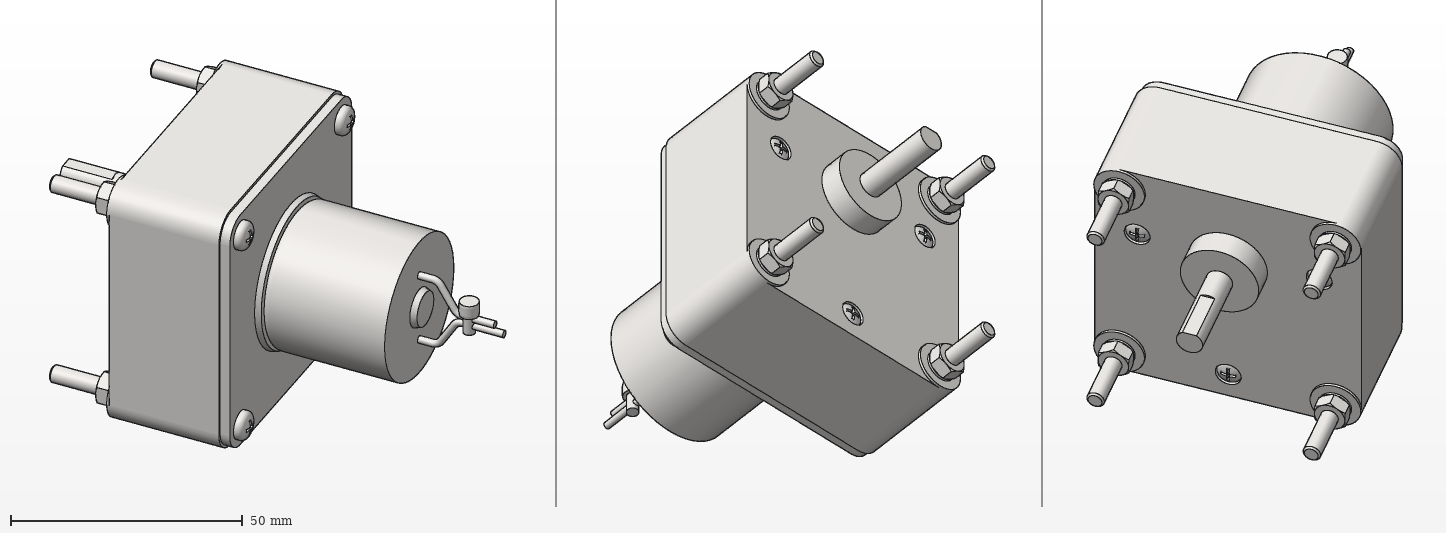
import cadquery as cq
import math


OVERALL_LENGTH = 105.4

BOX_SIDE = 61.0
CORNER_RADIUS = 5.8
CASE_LENGTH = 26.4
COVER_THICKNESS = 2.3
COVER_INSET = 0.6
BOX_LENGTH = CASE_LENGTH + COVER_THICKNESS
CORNER_CENTRE = BOX_SIDE / 2 - CORNER_RADIUS
CORNERS = [(y, z) for y in (-CORNER_CENTRE, CORNER_CENTRE) for z in (-CORNER_CENTRE, CORNER_CENTRE)]
PAD_HEIGHT = 0.6

SHAFT_Z = 10.0
SHAFT_DIAMETER = 6.0
SHAFT_RADIUS = SHAFT_DIAMETER / 2
SHAFT_TIP_X = -25.4
FLAT_LENGTH = 11.9
FLAT_HEIGHT = 2.5
BOSS_RADIUS = 9.0
BOSS_LENGTH = 5.7

STUD_RADIUS = 2.0
STUD_TIP_X = -16.4
STUD_CHAMFER = 0.4
NUT_FLATS = 7.0
NUT_CORNER_RADIUS = NUT_FLATS / math.sqrt(3)
NUT_FRONT_X = -4.4
NUT_BACK_X = -1.2
NUT_FRONT_BEVEL = 0.3
NUT_BACK_BEVEL = 0.3
NUT_FACE_RADIUS = NUT_FLATS / 2
COLLAR_RADIUS = 3.7

STUD_HEAD_RADIUS = 3.4
STUD_HEAD_HEIGHT = 2.6
STUD_HEAD_ROUNDING = 1.3
CROWN_RADIUS = 5.5
FACE_SCREW_CIRCLE = 24.0
FACE_SCREW_ANGLES = (30, 150, 270)
FACE_SCREW_RADIUS = 3.0
FACE_SCREW_RISE = 0.3
FACE_SCREW_ROUNDING = 1.1
FACE_SCREW_FLOOR = 1.9
SLOT_LENGTH = 3.4
SLOT_WIDTH = 0.6
SLOT_DEPTH = 1.1

FLANGE_BASE_RADIUS = 17.7
FLANGE_TIP_RADIUS = 17.3
FLANGE_THICKNESS = 1.4
MOTOR_RADIUS = 17.0
MOTOR_END_X = 59.6
MOTOR_FILLET = 1.5
BEARING_BASE_RADIUS = 4.6
BEARING_TIP_RADIUS = 4.1
BEARING_LENGTH = 1.5

WIRE_RADIUS = 0.8
WIRE_START_Z = 8.3
WIRE_END_Z = 0.9
WIRE_STRAIGHT = 3.2
WIRE_BEND_RADIUS = 2.4
WIRE_SLOPE = math.radians(58)
WIRE_ROOT = 0.5
UPPER_WIRE_END_X = 77.8
LOWER_WIRE_END_X = SHAFT_TIP_X + OVERALL_LENGTH
TIE_X = 71.6
TIE_RADIUS = 1.4
TIE_BOTTOM_Z = -2.8
TIE_HEAD_DIAMETER = 4.5
TIE_HEAD_BOTTOM_Z = 1.8
TIE_HEAD_TOP_Z = 5.2
TIE_BEVEL_WIDTH = 0.1
TIE_BEVEL_LENGTH = 0.6


def rod(start_x, end_x, radius, y=0, z=0):
    """Cylinder along X between two X positions."""
    return cq.Workplane("YZ", origin=(start_x, y, z)).circle(radius).extrude(end_x - start_x)


def cone(start_x, length, base_radius, tip_radius):
    """Truncated cone on the motor axis."""
    return (
        cq.Workplane("YZ", origin=(start_x, 0, 0))
        .circle(base_radius)
        .workplane(offset=length)
        .circle(tip_radius)
        .loft()
    )


def domed_head(radius, height, rounding):
    """Screw head rising along +X from the origin: cylinder, rounded rim, crown and cross slot."""
    rim_angle = math.asin(radius / CROWN_RADIUS)
    crown_middle = (
        height - CROWN_RADIUS * (1 - math.cos(rim_angle / 2)),
        CROWN_RADIUS * math.sin(rim_angle / 2),
    )
    rim_x = height - CROWN_RADIUS * (1 - math.cos(rim_angle))
    head = (
        cq.Workplane("XY")
        .lineTo(0, radius)
        .lineTo(rim_x, radius)
        .threePointArc(crown_middle, (height, 0))
        .close()
        .revolve(360, (0, 0, 0), (1, 0, 0))
        .faces("%CYLINDER")
        .edges(">X")
        .fillet(rounding)
    )
    slots = cq.Workplane("YZ", origin=(height - SLOT_DEPTH, 0, 0))
    for length_y, length_z in ((SLOT_LENGTH, SLOT_WIDTH), (SLOT_WIDTH, SLOT_LENGTH)):
        head = head.cut(slots.rect(length_y, length_z).extrude(SLOT_DEPTH))
    return head


def gearbox():
    """Case whose round corner columns end in low pads, a slightly smaller cover and the output boss."""
    inner_side = 2 * CORNER_CENTRE
    section = cq.Workplane("YZ")
    case = section.rect(BOX_SIDE, inner_side).extrude(CASE_LENGTH)
    case = case.union(section.rect(inner_side, BOX_SIDE).extrude(CASE_LENGTH))
    for y, z in CORNERS:
        case = case.union(rod(-PAD_HEIGHT, CASE_LENGTH, CORNER_RADIUS, y, z))
    cover_side = BOX_SIDE - 2 * COVER_INSET
    cover = (
        cq.Workplane("YZ", origin=(CASE_LENGTH, 0, 0))
        .rect(cover_side, cover_side)
        .extrude(COVER_THICKNESS)
        .edges("|X")
        .fillet(CORNER_RADIUS - COVER_INSET)
    )
    boss = rod(-BOSS_LENGTH, 0, BOSS_RADIUS, z=SHAFT_Z)
    return case.union(cover).union(boss)


def output_shaft():
    """Shaft with a flat on top at its free end."""
    shaft = rod(SHAFT_TIP_X, 0, SHAFT_RADIUS, z=SHAFT_Z)
    above_flat = cq.Workplane("XY").box(
        FLAT_LENGTH, 2 * SHAFT_RADIUS, SHAFT_RADIUS, centered=(False, True, False)
    )
    return shaft.cut(above_flat.translate((SHAFT_TIP_X, 0, SHAFT_Z + FLAT_HEIGHT)))


def nut():
    """Hexagon nut on the X axis, bevelled at both ends, with a round collar behind."""
    length = NUT_BACK_X - NUT_FRONT_X
    hexagon = (
        cq.Workplane("YZ", origin=(NUT_FRONT_X, 0, 0))
        .polygon(6, 2 * NUT_CORNER_RADIUS)
        .extrude(length)
        .rotate((0, 0, 0), (1, 0, 0), 90)
    )
    envelope = (
        cq.Workplane("XY")
        .moveTo(NUT_FRONT_X, 0)
        .lineTo(NUT_FRONT_X, NUT_FACE_RADIUS)
        .lineTo(NUT_FRONT_X + NUT_FRONT_BEVEL, NUT_CORNER_RADIUS)
        .lineTo(NUT_BACK_X - NUT_BACK_BEVEL, NUT_CORNER_RADIUS)
        .lineTo(NUT_BACK_X, COLLAR_RADIUS)
        .lineTo(NUT_BACK_X, 0)
        .close()
        .revolve(360, (0, 0, 0), (1, 0, 0))
    )
    return hexagon.intersect(envelope).union(rod(NUT_BACK_X, 0, COLLAR_RADIUS))


def corner_fastener():
    """Stud, nut and rear screw head of one gearbox corner, on the X axis."""
    stud = rod(STUD_TIP_X, 0, STUD_RADIUS).faces("<X").chamfer(STUD_CHAMFER)
    head = domed_head(STUD_HEAD_RADIUS, STUD_HEAD_HEIGHT, STUD_HEAD_ROUNDING)
    return stud.union(nut()).union(head.translate((BOX_LENGTH, 0, 0)))


def add_face_screws(body):
    """Sink three domed screws into the front face, evenly spaced about the motor axis."""
    depth = FACE_SCREW_FLOOR
    head = domed_head(FACE_SCREW_RADIUS, depth + FACE_SCREW_RISE, FACE_SCREW_ROUNDING)
    head = head.rotate((0, 0, 0), (0, 0, 1), 180)
    for angle in FACE_SCREW_ANGLES:
        y = FACE_SCREW_CIRCLE * math.cos(math.radians(angle))
        z = FACE_SCREW_CIRCLE * math.sin(math.radians(angle))
        body = body.cut(rod(0, depth, FACE_SCREW_RADIUS, y, z))
        body = body.union(head.translate((depth, y, z)))
    return body


def motor():
    """Mounting flange, motor can and rear bearing."""
    can_x = BOX_LENGTH + FLANGE_THICKNESS
    flange = cone(BOX_LENGTH, FLANGE_THICKNESS, FLANGE_BASE_RADIUS, FLANGE_TIP_RADIUS)
    can = rod(can_x, MOTOR_END_X, MOTOR_RADIUS).faces("<X").edges().fillet(MOTOR_FILLET)
    bearing = cone(MOTOR_END_X, BEARING_LENGTH, BEARING_BASE_RADIUS, BEARING_TIP_RADIUS)
    return flange.union(can).union(bearing)


def wire(side, end_x):
    """Wire leaving the motor above (side = 1) or below (side = -1) the axis."""
    bend = WIRE_BEND_RADIUS
    bend_x = bend * math.sin(WIRE_SLOPE)
    bend_z = bend * (1 - math.cos(WIRE_SLOPE))
    half_x = bend * math.sin(WIRE_SLOPE / 2)
    half_z = bend * (1 - math.cos(WIRE_SLOPE / 2))
    x1 = MOTOR_END_X + WIRE_STRAIGHT
    x2 = x1 + bend_x
    z2 = WIRE_START_Z - bend_z
    z3 = WIRE_END_Z + bend_z
    x3 = x2 + (z2 - z3) / math.tan(WIRE_SLOPE)
    x4 = x3 + bend_x
    root_x = MOTOR_END_X - WIRE_ROOT
    path = (
        cq.Workplane("XZ")
        .moveTo(root_x, side * WIRE_START_Z)
        .lineTo(x1, side * WIRE_START_Z)
        .threePointArc((x1 + half_x, side * (WIRE_START_Z - half_z)), (x2, side * z2))
        .lineTo(x3, side * z3)
        .threePointArc((x4 - half_x, side * (WIRE_END_Z + half_z)), (x4, side * WIRE_END_Z))
        .lineTo(end_x, side * WIRE_END_Z)
    )
    section = cq.Workplane("YZ", origin=(root_x, 0, side * WIRE_START_Z)).circle(WIRE_RADIUS)
    return section.sweep(path)


def wire_tie():
    """Upright pin through both wires with a thicker bevelled head."""
    pin = (
        cq.Workplane("XY", origin=(TIE_X, 0, TIE_BOTTOM_Z))
        .circle(TIE_RADIUS)
        .extrude(TIE_HEAD_BOTTOM_Z - TIE_BOTTOM_Z)
    )
    head = (
        cq.Workplane("XY", origin=(TIE_X, 0, TIE_HEAD_BOTTOM_Z))
        .circle(TIE_HEAD_DIAMETER / 2)
        .extrude(TIE_HEAD_TOP_Z - TIE_HEAD_BOTTOM_Z)
        .faces("<Z or >Z")
        .chamfer(TIE_BEVEL_LENGTH, TIE_BEVEL_WIDTH)
    )
    return pin.union(head)


result = add_face_screws(gearbox().union(output_shaft()))
for corner_y, corner_z in CORNERS:
    result = result.union(corner_fastener().translate((0, corner_y, corner_z)))
result = result.union(motor())
result = result.union(wire(1, UPPER_WIRE_END_X)).union(wire(-1, LOWER_WIRE_END_X)).union(wire_tie())